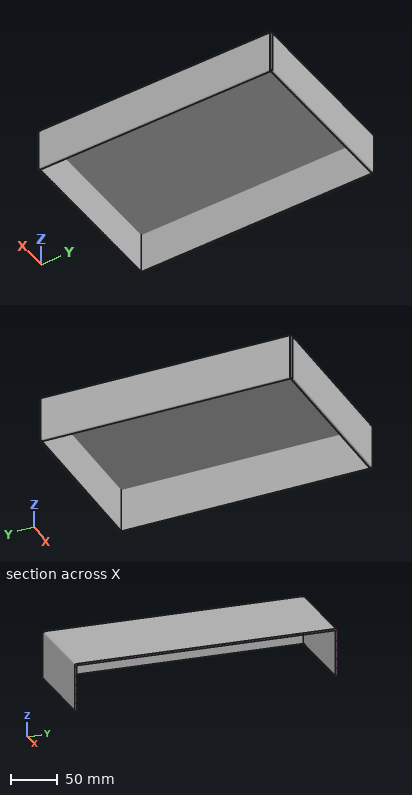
import cadquery as cq

width = 204.0
length = 300.0
height = 55.0
sheet = 2.7
bend_radius = 3.0
inner_bend_radius = bend_radius - sheet
corner_notch = 2.5
rim_radius = 1.5


def rounded_top_block(size_x, size_y, size_z, radius):
    """Block standing on Z = 0 with its four top edges rounded."""
    block = cq.Workplane("XY").box(size_x, size_y, size_z, centered=(True, True, False))
    return block.faces(">Z").edges().fillet(radius)


outer = rounded_top_block(width, length, height, bend_radius)
outer = outer.faces("<Z").edges().fillet(rim_radius)

cavity = rounded_top_block(
    width - 2 * sheet,
    length - 2 * sheet,
    height - sheet,
    inner_bend_radius,
)

corner_notches = (
    cq.Workplane("XY")
    .rect(width, length, forConstruction=True)
    .vertices()
    .rect(2 * corner_notch, 2 * corner_notch)
    .extrude(height)
)

result = outer.cut(cavity).cut(corner_notches)